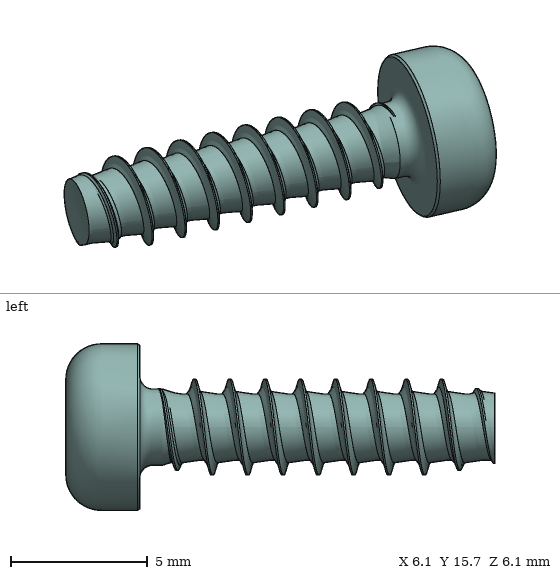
import cadquery as cq
import math

overall_length = 15.69

head_diameter = 6.1
head_radius = head_diameter / 2
head_crown_radius = 1.32
head_height = 2.71
head_rim_height = 0.1
head_rim_inset = 0.06

neck_radius = 1.4
neck_fillet = 0.47
neck_end = 3.55
neck_cone_length = 0.56
neck_cone_overlap = 0.08

core_diameter = 2.43
core_radius = core_diameter / 2
tip_dimple_radius = 1.15
tip_dimple_depth = 0.08

thread_start = 3.42
thread_turns = 9.5
pitch = (overall_length - thread_start) / thread_turns
crest_radius = 1.75
crest_half_width = 0.03
shoulder_radius = 1.46
shoulder_half_width = 0.11
head_side_foot = 0.27

ramp_top_diameter = 2.62
ramp_top_radius = ramp_top_diameter / 2
ramp_start = 0.19
ramp_end = 0.83

faded_crest_radius = ramp_top_radius + 0.02
turn_step = 0.25
run_in_turn = -turn_step
first_full_turn = 1.0
last_full_turn = 8.0
run_out_turn = thread_turns - turn_step
body_first_turn = -1.0
body_last_turn = thread_turns + 1
points_per_step = 8


def tooth_share(turn):
    """1 where the tooth is full height, 0 where it has faded into the ramp."""
    rise = (turn - run_in_turn) / (first_full_turn - run_in_turn)
    fall = (run_out_turn - turn) / (run_out_turn - last_full_turn)
    return max(0, min(1, rise, fall))


def ridge_profile(turn):
    """One pitch of the thread surface as (offset towards the tip, radius) corners."""
    share = tooth_share(turn)

    def blend(faded, full):
        return faded + share * (full - faded)

    crest = blend(faded_crest_radius, crest_radius)
    return [
        (-head_side_foot, core_radius),
        (-shoulder_half_width, blend(core_radius, shoulder_radius)),
        (-crest_half_width, crest),
        (crest_half_width, crest),
        (shoulder_half_width, blend(ramp_top_radius, shoulder_radius)),
        (ramp_start, ramp_top_radius),
        (ramp_end, core_radius),
        (pitch - head_side_foot, core_radius),
    ]


def helix_point(turn, offset, radius):
    """Point after `turn` turns, shifted `offset` towards the tip."""
    angle = 2 * math.pi * turn
    distance = thread_start + pitch * turn + offset
    return cq.Vector(-radius * math.sin(angle), overall_length - distance, radius * math.cos(angle))


def helix_edge(turn, corner, next_corner):
    """Helix over one turn step, its radius changing evenly between two profile corners."""
    offset, radius = corner
    growth = next_corner[1] - radius
    points = []
    for step in range(points_per_step + 1):
        share = step / points_per_step
        points.append(helix_point(turn + share * turn_step, offset, radius + share * growth))
    return cq.Edge.makeSpline(points)


def axis_edge(turn, offset):
    return cq.Edge.makeLine(helix_point(turn, offset, 0), helix_point(turn + turn_step, offset, 0))


def make_threaded_shank():
    """Solid bounded by the thread surface and, at each end, one turn of a helicoid and a radial cap.

    The head end is hidden inside the neck and the tip end runs past the tip.
    """
    steps = round((body_last_turn - body_first_turn) / turn_step)
    steps_per_turn = round(1 / turn_step)
    faces = []
    for step in range(steps):
        turn = body_first_turn + step * turn_step
        corners = zip(ridge_profile(turn), ridge_profile(turn + turn_step))
        edges = [helix_edge(turn, corner, next_corner) for corner, next_corner in corners]
        faces += [cq.Face.makeRuledSurface(a, b) for a, b in zip(edges, edges[1:])]
        if step < steps_per_turn:
            faces.append(cq.Face.makeRuledSurface(axis_edge(turn, -head_side_foot), edges[0]))
        if step >= steps - steps_per_turn:
            faces.append(cq.Face.makeRuledSurface(axis_edge(turn, pitch - head_side_foot), edges[-1]))
    for turn in (body_first_turn, body_last_turn):
        profile = ridge_profile(turn)
        outline = [(profile[0][0], 0)] + profile + [(profile[-1][0], 0)]
        points = [helix_point(turn, offset, radius) for offset, radius in outline]
        faces.append(cq.Face.makeFromWires(cq.Wire.makePolygon(points, close=True)))
    return cq.Workplane(cq.Solid.makeSolid(cq.Shell.makeShell(faces)))


def make_tip_cutter():
    """Trims the shank to a flat tip with a shallow conical dimple."""
    outer_radius = 2 * crest_radius
    depth = 3 * pitch
    profile = (
        cq.Workplane("XY")
        .moveTo(0, tip_dimple_depth)
        .lineTo(tip_dimple_radius, 0)
        .lineTo(outer_radius, 0)
        .lineTo(outer_radius, -depth)
        .lineTo(0, -depth)
        .close()
    )
    return profile.revolve(360, (0, 0, 0), (0, 1, 0))


def make_head():
    """Head and neck as one turned body, its end cone dipping into the threaded shank."""
    y_top = overall_length
    y_seat = y_top - head_height
    y_neck = y_top - neck_end
    cone_end_radius = core_radius - neck_cone_overlap
    cone_slope = neck_cone_length / (neck_radius - core_radius)
    y_cone_end = y_neck - cone_slope * (neck_radius - cone_end_radius)
    y_crown = y_top - head_crown_radius
    y_fillet = y_seat - neck_fillet
    crown_inner_radius = head_radius - head_crown_radius
    fillet_outer_radius = neck_radius + neck_fillet
    crown_diagonal = head_crown_radius * math.sqrt(0.5)
    fillet_diagonal = neck_fillet * math.sqrt(0.5)
    profile = (
        cq.Workplane("XY")
        .moveTo(0, y_top)
        .lineTo(crown_inner_radius, y_top)
        .threePointArc(
            (crown_inner_radius + crown_diagonal, y_crown + crown_diagonal),
            (head_radius, y_crown),
        )
        .lineTo(head_radius, y_seat + head_rim_height)
        .lineTo(head_radius - head_rim_inset, y_seat)
        .lineTo(fillet_outer_radius, y_seat)
        .threePointArc(
            (fillet_outer_radius - fillet_diagonal, y_fillet + fillet_diagonal),
            (neck_radius, y_fillet),
        )
        .lineTo(neck_radius, y_neck)
        .lineTo(cone_end_radius, y_cone_end)
        .lineTo(0, y_cone_end)
        .close()
    )
    return profile.revolve(360, (0, 0, 0), (0, 1, 0))


threaded_shank = make_threaded_shank().cut(make_tip_cutter())
result = make_head().union(threaded_shank).solids()